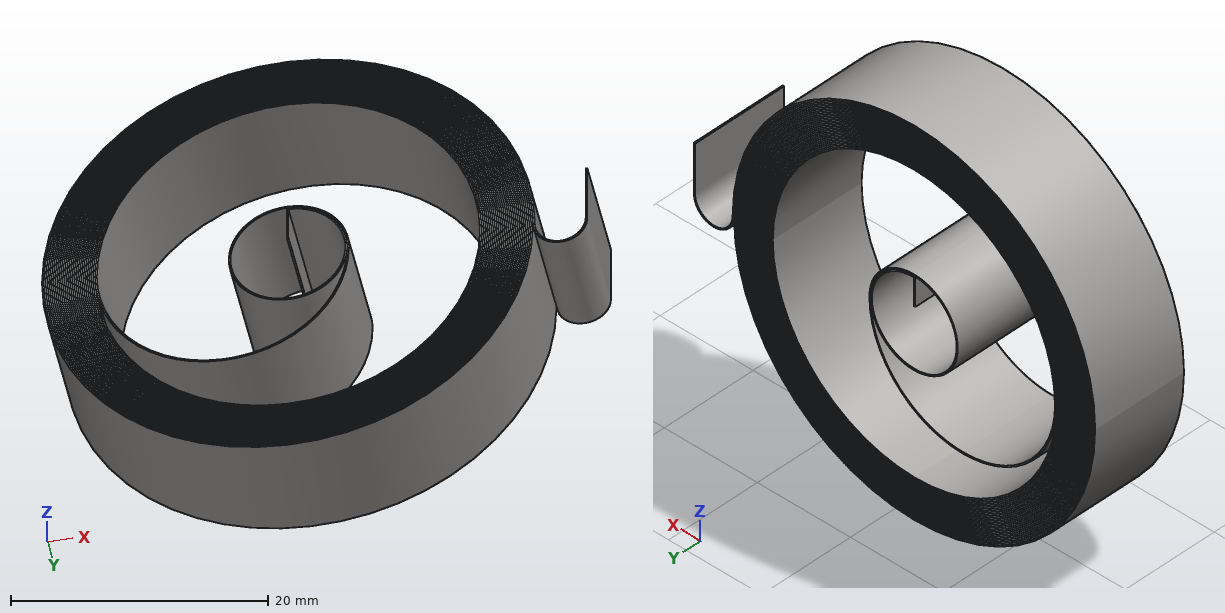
import cadquery as cq
import math

winding_pitch = 0.15
turn_clearance = 0.001
strip_thickness = winding_pitch - turn_clearance
strip_width = 10.0
half_thickness = strip_thickness / 2
half_turn_growth = winding_pitch / 2

hub_start_radius = 4.575
tab_end_height = 1.65
hub_center_x = half_turn_growth / 2

coil_start_radius = 15.185
coil_half_turns = 57

hook_radius = 2.075
tail_end_height = 5.0


def half_turns(start_x, count):
    """Clockwise half circles on the X axis, each ending half a pitch farther out than it began."""
    arcs = []
    x = start_x
    for _ in range(count):
        end_x = -x - math.copysign(half_turn_growth, x)
        center = ((x + end_x) / 2, 0)
        radius = abs(end_x - x) / 2
        if x < 0:
            arcs.append((center, radius, 180, 0))
        else:
            arcs.append((center, radius, 0, -90))
            arcs.append((center, radius, -90, -180))
        x = end_x
    return arcs, x


def strip_arcs():
    """Middle line of the strip as tangent arcs: (center, radius, start angle, end angle)."""
    hub_end_radius = hub_start_radius + winding_pitch
    arcs = [
        ((hub_center_x, 0), hub_start_radius, 90, -90),
        ((hub_center_x, half_turn_growth), hub_start_radius + half_turn_growth, -90, -270),
        ((hub_center_x, 0), hub_end_radius, 90, 0),
    ]

    hub_end_x = hub_center_x + hub_end_radius
    lead_radius = (hub_end_x + coil_start_radius) / 2
    lead_center = (hub_end_x - lead_radius, 0)
    arcs.append((lead_center, lead_radius, 0, -90))
    arcs.append((lead_center, lead_radius, -90, -180))

    coil, coil_end_x = half_turns(-coil_start_radius, coil_half_turns)
    arcs.extend(coil)

    hook_center = (coil_end_x + hook_radius, 0)
    arcs.append((hook_center, hook_radius, 180, 270))
    arcs.append((hook_center, hook_radius, 270, 360))
    return arcs


def arc_point(arc, angle, offset):
    """Point beside an arc, offset to the left of its direction of travel."""
    center, radius, start, end = arc
    clockwise = end < start
    reach = radius + offset if clockwise else radius - offset
    return (
        center[0] + reach * math.cos(math.radians(angle)),
        center[1] + reach * math.sin(math.radians(angle)),
    )


def tab_arc(arc, face_x, offset):
    """The hub's first arc, cut to begin where its offset edge meets a tab face."""
    center, radius, _, end = arc
    start = math.degrees(math.acos((face_x - center[0]) / (radius + offset)))
    return (center, radius, start, end)


def add_arc(outline, arc, offset, backward=False):
    start, end = arc[2], arc[3]
    stop = start if backward else end
    return outline.threePointArc(
        arc_point(arc, (start + end) / 2, offset),
        arc_point(arc, stop, offset),
    )


def make_spring():
    arcs = strip_arcs()
    tab_left = hub_center_x - strip_thickness
    tab_right = hub_center_x
    left_side = [tab_arc(arcs[0], tab_left, half_thickness)] + arcs[1:]
    right_side = [tab_arc(arcs[0], tab_right, -half_thickness)] + arcs[1:]

    outline = cq.Workplane("XZ", origin=(0, strip_width / 2, 0)).moveTo(tab_left, tab_end_height)
    outline = outline.lineTo(*arc_point(left_side[0], left_side[0][2], half_thickness))
    for arc in left_side:
        outline = add_arc(outline, arc, half_thickness)

    tail_right_start = arc_point(arcs[-1], arcs[-1][3], -half_thickness)
    outline = outline.vLineTo(tail_end_height)
    outline = outline.lineTo(tail_right_start[0], tail_end_height)
    outline = outline.lineTo(*tail_right_start)

    for arc in reversed(right_side):
        outline = add_arc(outline, arc, -half_thickness, backward=True)
    outline = outline.lineTo(tab_right, tab_end_height).close()
    return outline.extrude(strip_width, clean=False)


result = make_spring()